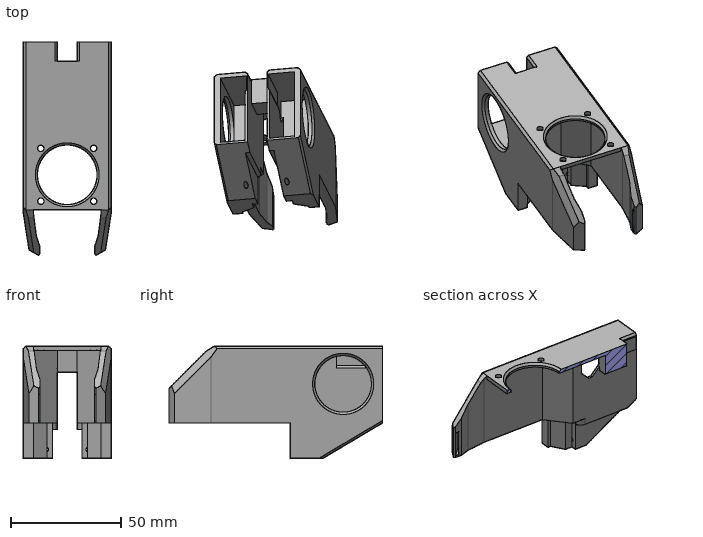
import cadquery as cq


width = 40.0
length = 97.05
height = 51.0
half_width = width / 2
top_thickness = 2.0
top_edge_chamfer = 1.2
plate_front = -76.4
skirt_bottom = -35.0
slope_front = -27.0
slope_edge_chamfer = 0.95

arm_slope_start = -80.0
arm_slope_drop = 2.2
arm_bend = -78.0
arm_tip_outer = (17.4, -94.6)
arm_tip_front = (13.0, -length)
arm_tip_inner_x = 12.4
arm_tip_inner_front = -96.2
arm_tip_inner_rear = -93.0
arm_inner_knee = (14.0, -88.2)
arm_bevel_low_z = -21.6

chamber_half = 15.3
chamber_rear = -45.2
slot_half = 4.5
slot_front = -35.8
notch_depth = 8.8
notch_chamfer = 1.0
bridge_front = -21.0
bridge_bottom = -12.0

fan_y = -60.4
fan_bore = 27.0
fan_rim = 29.0
fan_screw_pitch = 24.0
fan_screw_bore = 2.8

side_hole_y = -17.9
side_hole_z = -17.2
side_bore = 25.7
side_rim = 27.8
side_wall = 2.8
air_inner_x = 5.7
air_floor = -34.0
air_front = -31.0
relief_depth = 0.7
relief_bottom = -10.0
relief_bevel = 1.2
window_bottom = -14.1
window_bottom_width = 2.0

leg_front = -42.0
leg_slant_start = -40.5
leg_tip = (9.2, -36.7)
leg_flange_front = -33.0
leg_inner_x = 6.6
leg_hole_x = 9.5
leg_hole_z = -47.0
leg_hole_bore = 1.9
web_bottom = -38.0
web_round = 4.0

slit_width = 1.2
slit_depth = 6.2
slit_mid_y = -95.4
slit_top = -22.0
slit_bottom = -34.0


def box(x0, x1, y0, y1, z0, z1):
    """Box between two opposite corners."""
    return cq.Workplane("XY").box(x1 - x0, y1 - y0, z1 - z0, centered=False).translate((x0, y0, z0))


def prism(points, z0, z1):
    """Plan outline extruded from z0 up to z1."""
    return cq.Workplane("XY").workplane(offset=z0).polyline(points).close().extrude(z1 - z0)


def countersunk_cutter(bore, rim, depth):
    """Bore along -Z from the origin with a 45 degree countersink at its mouth."""
    sink = (rim - bore) / 2
    cone = cq.Workplane("XY").circle(rim / 2).workplane(offset=-sink).circle(bore / 2).loft()
    return cone.union(cq.Workplane("XY").circle(bore / 2).extrude(-depth))


def side_block():
    """Side profile across the full width, with the long edges broken."""
    arm_top_front = -arm_slope_drop - (length + arm_slope_start)
    profile = [
        (0, 0),
        (plate_front, 0),
        (arm_slope_start, -arm_slope_drop),
        (-length, arm_top_front),
        (-length, skirt_bottom),
        (leg_front, skirt_bottom),
        (leg_front, -height),
        (slope_front, -height),
        (0, skirt_bottom),
    ]
    block = cq.Workplane("YZ").polyline(profile).close().extrude(half_width, both=True)
    block = block.faces(">Z").edges("|Y").chamfer(top_edge_chamfer)
    slope_edges = cq.selectors.BoxSelector(
        (-width, slope_front, -height), (width, 0, skirt_bottom)
    )
    return block.edges("not |X").edges(slope_edges).chamfer(slope_edge_chamfer)


def plan_outline():
    """Top outline: straight body with two arms that bend inwards."""
    right = [
        (half_width, 0),
        (half_width, arm_bend),
        arm_tip_outer,
        arm_tip_front,
        (arm_tip_inner_x, arm_tip_inner_front),
        (arm_tip_inner_x, arm_tip_inner_rear),
        arm_inner_knee,
        (chamber_half, arm_bend),
        (chamber_half, plate_front),
    ]
    left = [(-x, y) for x, y in reversed(right)]
    return prism(right + left, -height, 0)


def arm_bevel():
    """Material outside the plane that bevels the upper outer edge of the +X arm."""
    rear_low = cq.Vector(half_width, plate_front + top_edge_chamfer, -top_edge_chamfer)
    rear_high = cq.Vector(half_width - top_edge_chamfer, plate_front, 0)
    front_low = cq.Vector(*arm_tip_outer, arm_bevel_low_z)
    normal = (front_low - rear_low).cross(rear_high - rear_low)
    if normal.x < 0:
        normal = -normal
    plane = cq.Plane(origin=rear_low.toTuple(), normal=normal.toTuple())
    return cq.Workplane(plane).rect(2 * length, 2 * length).extrude(width)


def arm_slit():
    """Blind slit that runs diagonally into the +X arm from its inner tip face."""
    slit = box(-slit_width, slit_depth, -slit_width / 2, slit_width / 2, slit_bottom, slit_top)
    return slit.rotate((0, 0, 0), (0, 0, 1), 45).translate((arm_tip_inner_x, slit_mid_y, 0))


def fan_chamber():
    """Chamber under the top plate that narrows to the central slot."""
    right = [
        (chamber_half, plate_front),
        (chamber_half, chamber_rear),
        (slot_half, slot_front),
        (slot_half, bridge_front),
    ]
    left = [(-x, y) for x, y in reversed(right)]
    return prism(right + left, -height, -top_thickness)


def rear_slot():
    """Slot below the bridge and the chamfered notch through the top at the rear."""
    slot = box(-slot_half, slot_half, bridge_front, 0, -height, bridge_bottom)
    notch = box(-slot_half, slot_half, -notch_depth, 0, -height, 0)
    flare = [
        (-slot_half - notch_chamfer, 0),
        (slot_half + notch_chamfer, 0),
        (slot_half, -notch_chamfer),
        (-slot_half, -notch_chamfer),
    ]
    mouth = cq.Workplane("XZ").polyline(flare).close().extrude(notch_depth)
    return slot.union(notch).union(mouth)


def leg_space():
    """Space around the legs below the skirt on the +X side."""
    space = box(0, half_width, leg_front, 0, -height, skirt_bottom)
    leg = prism(
        [
            (half_width, leg_front),
            (chamber_half, leg_front),
            (chamber_half, leg_slant_start),
            leg_tip,
            (leg_tip[0], leg_flange_front),
            (leg_inner_x, leg_flange_front),
            (leg_inner_x, 0),
            (half_width, 0),
        ],
        -height,
        skirt_bottom,
    )
    web = box(slot_half, half_width, leg_flange_front, 0, web_bottom, skirt_bottom)
    web = web.edges("|Z and <X and <Y").fillet(web_round)
    web = web.intersect(box(slot_half, leg_inner_x, leg_flange_front, 0, web_bottom, skirt_bottom))
    return space.cut(leg).cut(web)


def leg_hole():
    """Small hole from the leg flange out through the rear slope."""
    hole = cq.Workplane("XZ").center(leg_hole_x, leg_hole_z).circle(leg_hole_bore / 2)
    return hole.extrude(-leg_flange_front)


def air_chamber():
    """Air chamber on the +X side, open at the rear, with its round inlet and inner relief."""
    chamber = box(air_inner_x, half_width - side_wall, air_front, 0, air_floor, -top_thickness)
    relief_x = air_inner_x - relief_depth
    relief = [
        (air_inner_x, relief_bottom),
        (relief_x, relief_bottom + relief_bevel),
        (relief_x, -top_thickness),
        (air_inner_x, -top_thickness),
    ]
    relief = cq.Workplane("XZ").polyline(relief).close().extrude(-bridge_front)
    inlet = countersunk_cutter(side_bore, side_rim, 2 * side_wall)
    inlet = inlet.rotate((0, 0, 0), (0, 1, 0), 90).translate((half_width, side_hole_y, side_hole_z))
    return chamber.union(relief).union(inlet)


def wire_window():
    """Window with a tapered foot from the -X air chamber into the slot."""
    mid = (bridge_front + air_front) / 2
    shoulder = window_bottom + (bridge_front - air_front - window_bottom_width) / 2
    outline = [
        (bridge_front, -top_thickness),
        (bridge_front, shoulder),
        (mid + window_bottom_width / 2, window_bottom),
        (mid - window_bottom_width / 2, window_bottom),
        (air_front, shoulder),
        (air_front, -top_thickness),
    ]
    return cq.Workplane("YZ").polyline(outline).close().extrude(-air_inner_x)


def fan_mount():
    """Fan opening and its four screw holes in the top plate."""
    opening = countersunk_cutter(fan_bore, fan_rim, 2 * top_thickness)
    screws = cq.Workplane("XY").rect(fan_screw_pitch, fan_screw_pitch, forConstruction=True)
    screws = screws.vertices().circle(fan_screw_bore / 2).extrude(-2 * top_thickness)
    return opening.union(screws).translate((0, fan_y, 0))


result = side_block().intersect(plan_outline())
result = result.cut(fan_chamber()).cut(rear_slot()).cut(wire_window()).cut(fan_mount())
for cutter in (arm_bevel(), arm_slit(), leg_space(), leg_hole(), air_chamber()):
    result = result.cut(cutter).cut(cutter.mirror("YZ"))